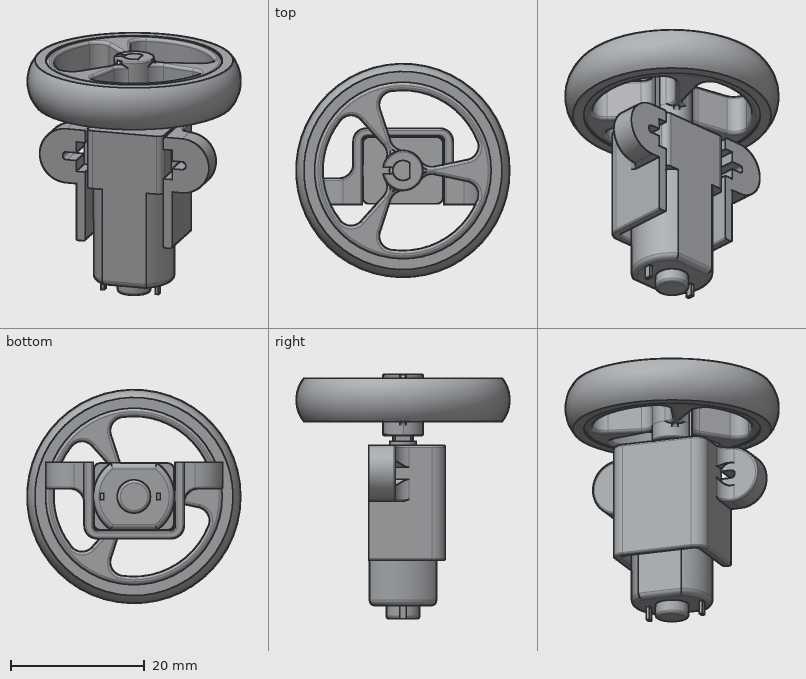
import cadquery as cq
import math


GEARBOX_WIDTH = 12.0
GEARBOX_DEPTH = 10.03
GEARBOX_LENGTH = 9.0
GEARBOX_CORNER_RADIUS = 1.0
CAN_LENGTH = 15.0
CAN_RADIUS = 6.08
CAN_BOTTOM_FILLET = 0.85
CAP_RADIUS = 2.5
CAP_LENGTH = 1.98
CAP_FILLET = 0.45
COLLAR_RADIUS = 2.0
COLLAR_LENGTH = 0.6
SHAFT_RADIUS = 1.5
SHAFT_FLAT_X = 1.0
SHAFT_LENGTH = 10.03
TERMINAL_CENTERS_X = (-4.8, 3.7)
TERMINAL_THICKNESS = 0.5
TERMINAL_WIDTH = 1.03
CAN_BOTTOM_Z = -GEARBOX_LENGTH - CAN_LENGTH
SHAFT_TOP_Z = COLLAR_LENGTH + SHAFT_LENGTH

TYRE_RADIUS = 16.0
TYRE_SHOULDER_RADIUS = 14.83
TYRE_INNER_RADIUS = 13.2
TYRE_WIDTH = 6.5
TYRE_MID_Z = 6.77
TYRE_BOTTOM_Z = TYRE_MID_Z - TYRE_WIDTH / 2
TYRE_TOP_Z = TYRE_MID_Z + TYRE_WIDTH / 2

HUB_RADIUS = 3.0
HUB_LENGTH = 9.2
HUB_EDGE_FILLET = 0.22
HUB_SLOT_WIDTH = 1.03
HUB_BOTTOM_Z = SHAFT_TOP_Z - HUB_LENGTH
WINDOW_COUNT = 3
WINDOW_PITCH = 360 / WINDOW_COUNT
WINDOW_OUTER_RADIUS = 11.97
WINDOW_CORNER_RADIUS = 2.0
SPOKE_TAPER_ANGLE = 12.0
SPOKE_TAPER_ORIGIN = 1.95
WHEEL_EDGE_FILLET = 0.48

BRACKET_CLEARANCE = 0.1
BRACKET_SHIFT_X = 0.05
BRACKET_HALF_WIDTH = 7.5
BRACKET_BACK_Y = 6.35
BRACKET_FRONT_Y = -5.13
BRACKET_HEIGHT = 17.25
BRACKET_OUTER_CORNER = 2.0
BRACKET_INNER_CORNER = 0.75
BRACKET_EDGE_FILLET = 0.3
BRACKET_INNER_HALF_WIDTH = GEARBOX_WIDTH / 2 + BRACKET_CLEARANCE
BRACKET_INNER_BACK_Y = GEARBOX_DEPTH / 2 + BRACKET_CLEARANCE
EAR_RADIUS = 4.2
EAR_CENTER_X = 9.05
EAR_THICKNESS = 4.0
EAR_ROOT_RADIUS = 2.0
EAR_CENTER_Z = -EAR_RADIUS
EAR_BACK_Y = BRACKET_FRONT_Y + EAR_THICKNESS
SCREW_SLOT_WIDTH = 1.2
HEAD_CLEARANCE_RADIUS = 1.8
NUT_RECESS_HEIGHT = 4.58


def cylinder(radius, bottom_z, top_z):
    return cq.Workplane("XY").workplane(offset=bottom_z).circle(radius).extrude(top_z - bottom_z)


def box(x_range, y_range, z_range):
    size = [high - low for low, high in (x_range, y_range, z_range)]
    return cq.Workplane("XY").box(*size, centered=False).translate((x_range[0], y_range[0], z_range[0]))


def d_shaft():
    round_shaft = cylinder(SHAFT_RADIUS, COLLAR_LENGTH, SHAFT_TOP_Z)
    flat = box(
        (SHAFT_FLAT_X, SHAFT_RADIUS),
        (-SHAFT_RADIUS, SHAFT_RADIUS),
        (COLLAR_LENGTH, SHAFT_TOP_Z),
    )
    return round_shaft.cut(flat)


def make_motor():
    gearbox = (
        cq.Workplane("XY")
        .rect(GEARBOX_WIDTH, GEARBOX_DEPTH)
        .extrude(-GEARBOX_LENGTH)
        .edges("|Z")
        .fillet(GEARBOX_CORNER_RADIUS)
    )
    can = (
        cylinder(CAN_RADIUS, CAN_BOTTOM_Z, -GEARBOX_LENGTH)
        .intersect(cq.Workplane("XY").box(2 * CAN_RADIUS, GEARBOX_DEPTH, -2 * CAN_BOTTOM_Z))
        .faces("<Z")
        .edges()
        .fillet(CAN_BOTTOM_FILLET)
    )
    cap = cylinder(CAP_RADIUS, CAN_BOTTOM_Z - CAP_LENGTH, CAN_BOTTOM_Z).faces("<Z").edges().fillet(CAP_FILLET)
    collar = cylinder(COLLAR_RADIUS, 0, COLLAR_LENGTH)
    motor = gearbox.union(can).union(cap).union(collar).union(d_shaft())
    for center_x in TERMINAL_CENTERS_X:
        terminal = box(
            (center_x - TERMINAL_THICKNESS / 2, center_x + TERMINAL_THICKNESS / 2),
            (-TERMINAL_WIDTH / 2, TERMINAL_WIDTH / 2),
            (CAN_BOTTOM_Z - CAP_LENGTH, CAN_BOTTOM_Z + CAN_BOTTOM_FILLET),
        )
        motor = motor.union(terminal)
    return motor


def make_tyre():
    return (
        cq.Workplane("XZ")
        .moveTo(TYRE_INNER_RADIUS, TYRE_BOTTOM_Z)
        .lineTo(TYRE_SHOULDER_RADIUS, TYRE_BOTTOM_Z)
        .threePointArc((TYRE_RADIUS, TYRE_MID_Z), (TYRE_SHOULDER_RADIUS, TYRE_TOP_Z))
        .lineTo(TYRE_INNER_RADIUS, TYRE_TOP_Z)
        .close()
        .revolve(360, (0, 0, 0), (0, 1, 0))
    )


def wheel_window(margin=0):
    """Opening between two spokes, centred on +X and grown all round by the margin."""
    half_pitch = math.radians(WINDOW_PITCH / 2)
    taper = math.radians(SPOKE_TAPER_ANGLE)
    half_angle = half_pitch - taper
    apex_x = -(SPOKE_TAPER_ORIGIN * math.sin(taper) + margin) / math.sin(half_angle)
    reach = 2 * WINDOW_OUTER_RADIUS
    wedge = (
        cq.Workplane("XY")
        .workplane(offset=HUB_BOTTOM_Z)
        .polyline([
            (apex_x, 0),
            (apex_x + reach, -reach * math.tan(half_angle)),
            (apex_x + reach, reach * math.tan(half_angle)),
        ])
        .close()
        .extrude(HUB_LENGTH)
    )
    outer = cylinder(WINDOW_OUTER_RADIUS + margin, HUB_BOTTOM_Z, SHAFT_TOP_Z)
    inner = cylinder(HUB_RADIUS - margin, HUB_BOTTOM_Z, SHAFT_TOP_Z)
    window = outer.cut(inner).intersect(wedge)
    return window.edges("|Z").fillet(WINDOW_CORNER_RADIUS + margin)


def cut_windows(solid, margin=0):
    window = wheel_window(margin)
    for index in range(WINDOW_COUNT):
        angle = (index + 0.5) * WINDOW_PITCH
        solid = solid.cut(window.rotate((0, 0, 0), (0, 0, 1), angle))
    return solid


def spoke_root_cove(face_z, direction):
    """Concave fillets where the flat spoke faces at one height run into the hub."""
    rise = direction * WHEEL_EDGE_FILLET
    middle = WHEEL_EDGE_FILLET * (1 - math.sqrt(0.5))
    ring = (
        cq.Workplane("XZ")
        .moveTo(SHAFT_RADIUS, face_z)
        .lineTo(HUB_RADIUS + WHEEL_EDGE_FILLET, face_z)
        .threePointArc(
            (HUB_RADIUS + middle, face_z + direction * middle),
            (HUB_RADIUS, face_z + rise),
        )
        .lineTo(SHAFT_RADIUS, face_z + rise)
        .close()
        .revolve(360, (0, 0, 0), (0, 1, 0))
    )
    return cut_windows(ring, WHEEL_EDGE_FILLET)


def make_wheel():
    web = cut_windows(cylinder(TYRE_INNER_RADIUS, TYRE_BOTTOM_Z, TYRE_TOP_Z))
    web = web.faces("<Z or >Z").edges().fillet(WHEEL_EDGE_FILLET)
    hub = cylinder(HUB_RADIUS, HUB_BOTTOM_Z, SHAFT_TOP_Z).faces("<Z or >Z").edges().fillet(HUB_EDGE_FILLET)
    wheel = web.union(hub)
    wheel = wheel.union(spoke_root_cove(TYRE_TOP_Z, 1)).union(spoke_root_cove(TYRE_BOTTOM_Z, -1))
    slot = box(
        (-2 * HUB_RADIUS, 0),
        (-HUB_SLOT_WIDTH / 2, HUB_SLOT_WIDTH / 2),
        (HUB_BOTTOM_Z, SHAFT_TOP_Z),
    )
    return wheel.cut(slot).cut(d_shaft())


def bracket_wall():
    """Block with rounded back corners that becomes a U-shaped wall around the gearbox."""
    outer = box(
        (-BRACKET_HALF_WIDTH, BRACKET_HALF_WIDTH),
        (BRACKET_FRONT_Y, BRACKET_BACK_Y),
        (-BRACKET_HEIGHT, 0),
    )
    return outer.edges("|Z and >Y").fillet(BRACKET_OUTER_CORNER)


def gearbox_pocket():
    pocket = box(
        (-BRACKET_INNER_HALF_WIDTH, BRACKET_INNER_HALF_WIDTH),
        (BRACKET_FRONT_Y, BRACKET_INNER_BACK_Y),
        (-BRACKET_HEIGHT, 0),
    )
    return pocket.edges("|Z and >Y").fillet(BRACKET_INNER_CORNER)


def ear():
    """Mounting ear on the +X side, with a round end and a concave root along the wall."""
    root_top_y = EAR_BACK_Y + EAR_ROOT_RADIUS
    root_end_x = BRACKET_HALF_WIDTH + EAR_ROOT_RADIUS
    end_x = EAR_CENTER_X + EAR_RADIUS
    arc_offset = EAR_ROOT_RADIUS * math.sqrt(0.5)
    plan = (
        cq.Workplane("XY")
        .moveTo(BRACKET_INNER_HALF_WIDTH, BRACKET_FRONT_Y)
        .lineTo(end_x, BRACKET_FRONT_Y)
        .lineTo(end_x, EAR_BACK_Y)
        .lineTo(root_end_x, EAR_BACK_Y)
        .threePointArc((root_end_x - arc_offset, root_top_y - arc_offset), (BRACKET_HALF_WIDTH, root_top_y))
        .lineTo(BRACKET_INNER_HALF_WIDTH, root_top_y)
        .close()
        .extrude(-2 * EAR_RADIUS)
    )
    front_shape = (
        cq.Workplane("XZ", origin=(0, BRACKET_FRONT_Y, 0))
        .lineTo(EAR_CENTER_X, 0)
        .threePointArc((end_x, EAR_CENTER_Z), (EAR_CENTER_X, -2 * EAR_RADIUS))
        .lineTo(0, -2 * EAR_RADIUS)
        .close()
        .extrude(BRACKET_FRONT_Y - BRACKET_BACK_Y)
    )
    return plan.intersect(front_shape)


def ear_cutter():
    """Nut recess, screw slot and screw-head clearance of the ear on the +X side.

    The slot runs from the nut recess outward; its round end is concentric with the ear.
    """
    nut_recess = box(
        (BRACKET_INNER_HALF_WIDTH, BRACKET_HALF_WIDTH),
        (BRACKET_FRONT_Y, EAR_BACK_Y),
        (EAR_CENTER_Z - NUT_RECESS_HEIGHT / 2, EAR_CENTER_Z + NUT_RECESS_HEIGHT / 2),
    )
    slot_length = 2 * (EAR_CENTER_X - BRACKET_HALF_WIDTH) + SCREW_SLOT_WIDTH
    slot = (
        cq.Workplane("XZ", origin=(BRACKET_HALF_WIDTH, BRACKET_FRONT_Y, EAR_CENTER_Z))
        .slot2D(slot_length, SCREW_SLOT_WIDTH)
        .extrude(-EAR_THICKNESS)
    )
    head_clearance = (
        cq.Workplane("XZ", origin=(EAR_CENTER_X, EAR_BACK_Y, EAR_CENTER_Z))
        .circle(HEAD_CLEARANCE_RADIUS)
        .extrude(-EAR_ROOT_RADIUS)
        .intersect(box(
            (BRACKET_HALF_WIDTH, EAR_CENTER_X + HEAD_CLEARANCE_RADIUS),
            (BRACKET_FRONT_Y, BRACKET_BACK_Y),
            (-BRACKET_HEIGHT, 0),
        ))
    )
    return nut_recess.union(slot).union(head_clearance)


def round_bracket_edges(bracket, edge_y):
    """Round the top and bottom edges of the contour that passes the back wall at edge_y."""
    for edge_z in (0, -BRACKET_HEIGHT):
        edge = cq.selectors.NearestToPointSelector((0, edge_y, edge_z))
        bracket = bracket.edges(edge).fillet(BRACKET_EDGE_FILLET)
    return bracket


def make_bracket():
    outer = bracket_wall().union(ear()).union(ear().mirror("YZ"))
    bracket = round_bracket_edges(outer, BRACKET_BACK_Y).cut(gearbox_pocket())
    bracket = round_bracket_edges(bracket, BRACKET_INNER_BACK_Y)
    cutter = ear_cutter()
    bracket = bracket.cut(cutter).cut(cutter.mirror("YZ"))
    return bracket.translate((BRACKET_SHIFT_X, 0, 0))


result = cq.Compound.makeCompound([
    make_tyre().val(),
    make_wheel().val(),
    make_motor().val(),
    make_bracket().val(),
])